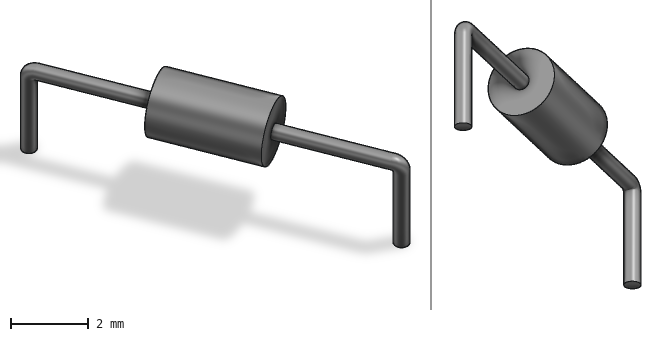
import cadquery as cq

overall_length = 10.65
overall_height = 3.8
body_diameter = 1.9
body_length = 3.2
wire_diameter = 0.45

body_radius = body_diameter / 2
wire_radius = wire_diameter / 2
foot_z = body_radius - overall_height

bend_inner_radius = 0.005
bend_radius = bend_inner_radius + wire_radius
leg_x = overall_length / 2 - wire_radius
bend_x = leg_x - bend_radius
bend_z = -bend_radius
bend_angle = 90


def make_body():
    """Plain cylinder centred on the origin."""
    return cq.Workplane("YZ", origin=(-body_length / 2, 0, 0)).circle(body_radius).extrude(body_length)


def make_right_lead():
    """Wire from the +X end face of the body, around the bend and down to the foot."""
    arm = (
        cq.Workplane("YZ", origin=(body_length / 2, 0, 0))
        .circle(wire_radius)
        .extrude(bend_x - body_length / 2)
    )
    bend = (
        cq.Workplane("YZ", origin=(bend_x, 0, 0))
        .circle(wire_radius)
        .revolve(bend_angle, (0, bend_z), (1, bend_z))
    )
    leg = (
        cq.Workplane("XY", origin=(leg_x, 0, foot_z))
        .circle(wire_radius)
        .extrude(bend_z - foot_z)
    )
    return arm.union(bend).union(leg)


def make_lead(turn):
    """Lead turned about the vertical axis to its end of the body."""
    return make_right_lead().rotate((0, 0, 0), (0, 0, 1), turn)


body = make_body()
leads = [make_lead(turn).val() for turn in (0, 180)]

result = cq.Compound.makeCompound([body.val(), *leads])